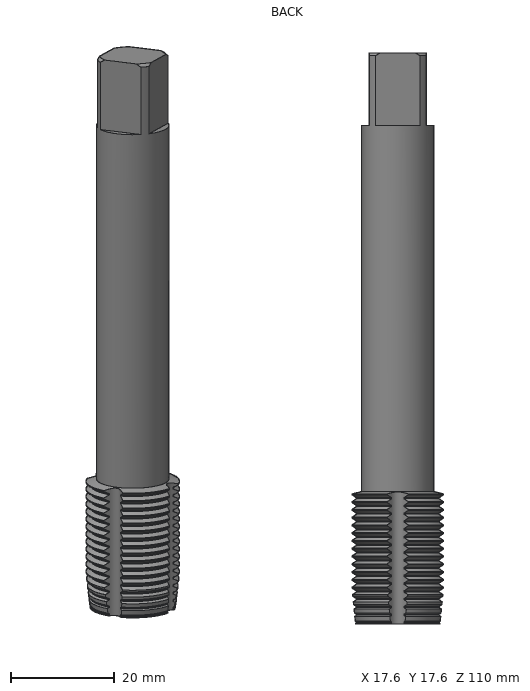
import cadquery as cq
import math

TOTAL_LENGTH = 110.0
SHANK_DIAMETER = 14.0
DRIVE_SIDE = 11.0
DRIVE_LENGTH = 14.0
DRIVE_CHAMFER = 0.5

THREAD_DIAMETER = 18.0
THREAD_PITCH = 1.5
THREAD_FLAT = THREAD_PITCH / 8
FLANK_ANGLE = 30.0
TOP_CREST_HEIGHT = 25.1
TOP_RISE = 0.4
LEAD_TIP_DIAMETER = 16.5
LEAD_LENGTH = 6.5

FLUTE_COUNT = 4
FLUTE_BOTTOM_RADIUS = 7.4
FLUTE_ROUNDING = 1.4

SHANK_RADIUS = SHANK_DIAMETER / 2
CREST_RADIUS = THREAD_DIAMETER / 2
FLANK_RISE = THREAD_PITCH / 2 - THREAD_FLAT
ROOT_RADIUS = CREST_RADIUS - FLANK_RISE / math.tan(math.radians(FLANK_ANGLE))
LEAD_TIP_RADIUS = LEAD_TIP_DIAMETER / 2
HEAD_TOP = TOP_CREST_HEIGHT + TOP_RISE


def revolve(points):
    """Turn a closed (radius, height) outline about the Z axis."""
    return cq.Workplane("XZ").polyline(points).close().revolve(360, (0, 0), (0, 1))


def make_shank():
    """Round shank with a square drive, whose corners keep the shank's roundness."""
    rod = (
        cq.Workplane("XY", origin=(0, 0, HEAD_TOP))
        .circle(SHANK_RADIUS)
        .extrude(TOTAL_LENGTH - HEAD_TOP)
        .faces(">Z").chamfer(DRIVE_CHAMFER)
    )
    drive_base = TOTAL_LENGTH - DRIVE_LENGTH
    outside_square = (
        cq.Workplane("XY", origin=(0, 0, drive_base))
        .rect(2 * SHANK_DIAMETER, 2 * SHANK_DIAMETER)
        .rect(DRIVE_SIDE, DRIVE_SIDE)
        .extrude(DRIVE_LENGTH)
    )
    return rod.cut(outside_square)


def thread_outline():
    """(radius, height) outline of the ring-shaped teeth, from the top face to below the lower end."""
    points = [(0, HEAD_TOP), (SHANK_RADIUS, HEAD_TOP)]
    crest_top = TOP_CREST_HEIGHT
    while crest_top > 0:
        crest_bottom = crest_top - THREAD_FLAT
        root_top = crest_bottom - FLANK_RISE
        points += [
            (CREST_RADIUS, crest_top),
            (CREST_RADIUS, crest_bottom),
            (ROOT_RADIUS, root_top),
            (ROOT_RADIUS, root_top - THREAD_FLAT),
        ]
        crest_top -= THREAD_PITCH
    return points + [(CREST_RADIUS, crest_top), (0, crest_top)]


def make_lead_envelope():
    """Plain body that tapers towards the lower end and bounds the teeth."""
    return revolve([
        (0, 0),
        (LEAD_TIP_RADIUS, 0),
        (CREST_RADIUS, LEAD_LENGTH),
        (CREST_RADIUS, HEAD_TOP),
        (0, HEAD_TOP),
    ])


def make_flute():
    """Cutter for the +X flute: a right-angled V with a rounded bottom, along the whole head."""
    arc_offset = FLUTE_ROUNDING * math.sin(math.pi / 4)
    arc_center = FLUTE_BOTTOM_RADIUS + FLUTE_ROUNDING
    arc_end = arc_center - arc_offset
    run = CREST_RADIUS
    return (
        cq.Workplane("XY")
        .moveTo(arc_end, -arc_offset)
        .threePointArc((FLUTE_BOTTOM_RADIUS, 0), (arc_end, arc_offset))
        .lineTo(arc_end + run, arc_offset + run)
        .lineTo(arc_end + run, -arc_offset - run)
        .close()
        .extrude(HEAD_TOP)
    )


def make_head():
    """Fluted cutting head with ring-shaped thread teeth and a tapered lead."""
    head = revolve(thread_outline()).intersect(make_lead_envelope())
    flute = make_flute()
    for i in range(FLUTE_COUNT):
        head = head.cut(flute.rotate((0, 0, 0), (0, 0, 1), i * 360 / FLUTE_COUNT))
    return head


shank = make_shank()
head = make_head()

result = cq.Compound.makeCompound([shank.val(), head.val()])